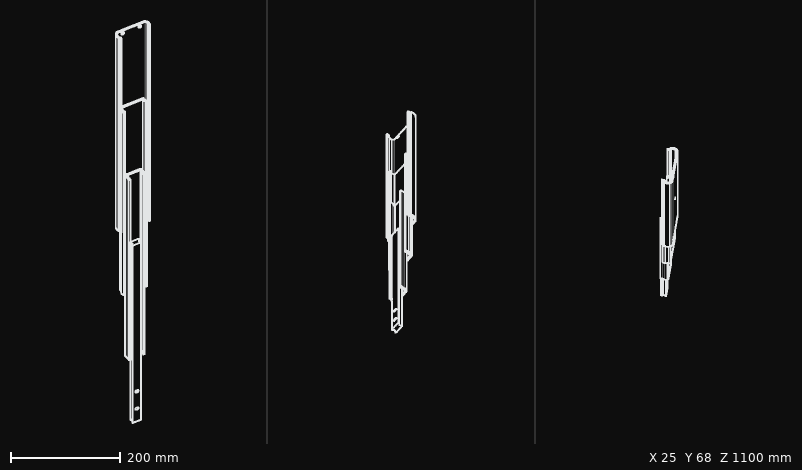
import cadquery as cq

total_length = 1100.0
total_depth = 25.0

outer_bottom, outer_top = total_length / 2, total_length
step = outer_bottom / 3
wide_bottom, wide_top = 2 * step, 888.0
narrow_bottom, narrow_top = step, 696.0
bar_bottom, bar_top = 0.0, 506.0

outer_wall = 2.8
outer_half_width = 34.0
outer_depth = 20.0
outer_back_half = 28.0
corner_depth = 1.6
corner_half = 31.0
crest_start, crest_end = 4.0, 14.0
crest_rise = 0.8
outer_lip_start = 16.0
outer_lip_half = 31.0

wide_wall = 3.0
wide_back = 4.0
wide_back_half = 24.0
wide_shoulder_depth = 8.0
wide_ridge_depth = 14.0
wide_ridge_half = 26.0
wide_depth = outer_depth
wide_lip_half = 24.0

narrow_wall = 3.0
narrow_back = 10.0
narrow_back_half = 14.0
narrow_bevel_depth = 12.0
narrow_bevel_width = 3.8
narrow_bevel_half = narrow_back_half + narrow_bevel_width
narrow_taper_end = 18.0
narrow_taper_inset = 1.0
narrow_taper_half = narrow_bevel_half - narrow_taper_inset
narrow_lip_start = 21.0
narrow_lip_half = 16.0
narrow_depth = total_depth

bar_back = 15.0
bar_half_width = 9.0
groove_start, groove_middle, groove_end = 16.0, 21.0, 23.0
groove_depth = 2.0

mount_hole_diameter = 5.0
mount_hole_half_spacing = 18.0
mount_hole_inset = 8.0
centre_hole_diameter = 3.0
bar_hole_diameter = 7.0
bar_hole_heights = (36.0, 86.0)


def outer_side(outline, mouth):
    """Flank of the outer channel, from its back to its mouth."""
    crest_edge_half = outer_half_width - crest_rise
    crest_top = ((crest_start + crest_end) / 2, outer_half_width)
    return (
        outline.lineTo(0, outer_back_half)
        .tangentArcPoint((corner_depth, corner_half), relative=False)
        .lineTo(crest_start, crest_edge_half)
        .threePointArc(crest_top, (crest_end, crest_edge_half))
        .lineTo(outer_lip_start, outer_lip_half)
        .lineTo(mouth, outer_lip_half)
    )


def wide_side(outline, mouth):
    """Flank of the wide channel; it continues straight if the mouth lies past the lip."""
    outline = (
        outline.lineTo(wide_back, wide_back_half)
        .lineTo(wide_shoulder_depth, wide_back_half)
        .lineTo(wide_ridge_depth, wide_ridge_half)
        .lineTo(wide_depth, wide_lip_half)
    )
    if mouth > wide_depth:
        outline = outline.lineTo(mouth, wide_lip_half)
    return outline


def narrow_side(outline, mouth):
    """Flank of the narrow channel, from its back to its mouth."""
    return (
        outline.lineTo(narrow_back, narrow_back_half)
        .lineTo(narrow_bevel_depth, narrow_bevel_half)
        .lineTo(narrow_taper_end, narrow_taper_half)
        .lineTo(narrow_lip_start, narrow_lip_half)
        .lineTo(mouth, narrow_lip_half)
    )


def bar_side(outline, mouth):
    """Grooved flank of the bar."""
    return (
        outline.lineTo(bar_back, bar_half_width)
        .lineTo(groove_start, bar_half_width)
        .lineTo(groove_middle, bar_half_width - groove_depth)
        .lineTo(groove_end, bar_half_width)
        .lineTo(mouth, bar_half_width)
    )


def half_outline(back, side, mouth, low_edge=0):
    """Closed outline of a half section that reaches down to Y = low_edge."""
    start = cq.Workplane("XY").moveTo(back, low_edge)
    return side(start, mouth).lineTo(mouth, low_edge).close()


def mirrored(half, bottom):
    """Join a half section with its mirror image and lift it to its height."""
    return half.union(half.mirror("XZ")).clean().translate((0, 0, bottom))


def channel(back, side, mouth, wall, bottom, top):
    """Channel with an even wall, open toward +X."""
    overrun = 2 * wall
    body = half_outline(back, side, mouth).extrude(top - bottom)
    inner_outline = half_outline(back, side, mouth + overrun, -overrun).offset2D(-wall, "intersection")
    return mirrored(body.cut(inner_outline.extrude(top - bottom)), bottom)


def cross_holes(diameter, places):
    """Round cutters along X through the whole depth, at (Y, Z) places."""
    return cq.Workplane("YZ").pushPoints(places).circle(diameter / 2).extrude(total_depth)


def make_outer_channel():
    body = channel(0, outer_side, outer_depth, outer_wall, outer_bottom, outer_top)
    heights = (outer_bottom + mount_hole_inset, outer_top - mount_hole_inset)
    corners = [(y, z) for y in (-mount_hole_half_spacing, mount_hole_half_spacing) for z in heights]
    centre = [(0, (outer_bottom + outer_top) / 2)]
    body = body.cut(cross_holes(mount_hole_diameter, corners))
    return body.cut(cross_holes(centre_hole_diameter, centre))


def make_wide_channel():
    return channel(wide_back, wide_side, wide_depth, wide_wall, wide_bottom, wide_top)


def make_narrow_channel():
    return channel(narrow_back, narrow_side, narrow_depth, narrow_wall, narrow_bottom, narrow_top)


def make_bar():
    half = half_outline(bar_back, bar_side, total_depth).extrude(bar_top - bar_bottom)
    places = [(0, z) for z in bar_hole_heights]
    return mirrored(half, bar_bottom).cut(cross_holes(bar_hole_diameter, places))


outer_channel = make_outer_channel()
wide_channel = make_wide_channel()
narrow_channel = make_narrow_channel()
bar = make_bar()

result = cq.Compound.makeCompound(
    [outer_channel.val(), wide_channel.val(), narrow_channel.val(), bar.val()]
)